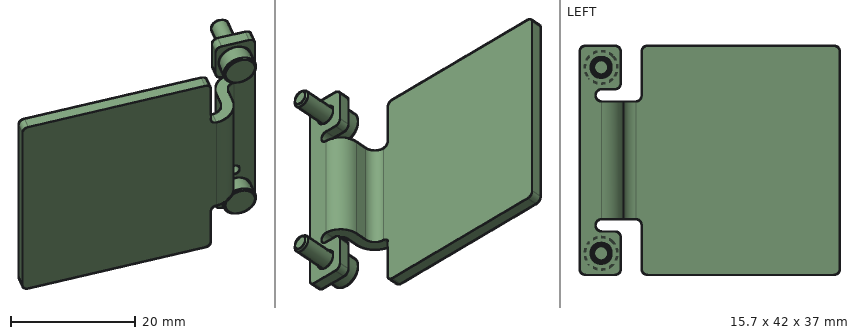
import cadquery as cq

LENGTH = 42.0
HEIGHT = 37.0
WIDTH = 15.7
THICKNESS = 2.0

LUG_X = 6.0
LUG_DEPTH = 6.68
LUG_HEIGHT = 7.05
CORNER_RADIUS = 1.0

BEND_START = 3.55
LUG_BEND_OUTER = 3.5
LUG_BEND_INNER = LUG_BEND_OUTER - THICKNESS
PANEL_BEND_INNER = 2.0
PANEL_BEND_OUTER = PANEL_BEND_INNER + THICKNESS
BEND_END = BEND_START + LUG_BEND_OUTER + PANEL_BEND_INNER

SLOT_WIDTH = 1.95
PANEL_START = 10.0
WEB_CORNER_RADIUS = PANEL_START - BEND_END

TOP = HEIGHT / 2
LUG_BOTTOM = TOP - LUG_HEIGHT
WEB_TOP = LUG_BOTTOM - SLOT_WIDTH

SCREW_SPACING = 30.0
SCREW_Y = -3.5
HOLE_DIAMETER = 3.4
SHANK_DIAMETER = 3.0
HEAD_DIAMETER = 5.5
HEAD_LENGTH = 3.0
HEAD_CHAMFER = 0.25
TIP_CHAMFER = 0.35
SEAT_CHAMFER = 0.13

SCREW_HEIGHTS = [-SCREW_SPACING / 2, SCREW_SPACING / 2]


def bent_strip():
    """Middle strip of the sheet, bent twice between lugs and panel."""
    lug_back = LUG_X + THICKNESS
    panel_front = WIDTH - THICKNESS
    web_near = -(BEND_START + LUG_BEND_INNER)
    web_far = -(BEND_START + LUG_BEND_OUTER)
    web_x_start = LUG_X + LUG_BEND_OUTER
    web_x_end = WIDTH - PANEL_BEND_OUTER
    return (
        cq.Workplane("XY", origin=(0, 0, -WEB_TOP))
        .moveTo(LUG_X, 0)
        .lineTo(LUG_X, -BEND_START)
        .radiusArc((web_x_start, web_far), -LUG_BEND_OUTER)
        .lineTo(web_x_end, web_far)
        .radiusArc((panel_front, -BEND_END), PANEL_BEND_INNER)
        .lineTo(panel_front, -PANEL_START)
        .lineTo(WIDTH, -PANEL_START)
        .lineTo(WIDTH, -BEND_END)
        .radiusArc((web_x_end, web_near), -PANEL_BEND_OUTER)
        .lineTo(web_x_start, web_near)
        .radiusArc((lug_back, -BEND_START), LUG_BEND_INNER)
        .lineTo(lug_back, 0)
        .close()
        .extrude(2 * WEB_TOP)
    )


def block(x_start, x_end, depth_start, depth_end, z_bottom, z_top):
    """Box given by its limits, with depth measured along -Y from the edge at Y = 0."""
    size = (x_end - x_start, depth_end - depth_start, z_top - z_bottom)
    corner = (x_start, -depth_end, z_bottom)
    return cq.Workplane("XY", origin=corner).box(*size, centered=False)


def outline_prism():
    """Silhouette of the bracket along X, as a solid through the full width."""
    prism = block(0, WIDTH, 0, LENGTH, -TOP, TOP)
    for side in (1, -1):
        gap_limits = sorted([side * WEB_TOP, side * TOP])
        slot_limits = sorted([side * WEB_TOP, side * LUG_BOTTOM])
        gap = block(0, WIDTH, LUG_DEPTH, PANEL_START, *gap_limits)
        slot = block(0, WIDTH, BEND_START, PANEL_START, *slot_limits)
        slot_round = (
            cq.Workplane("YZ")
            .center(-BEND_START, side * (WEB_TOP + SLOT_WIDTH / 2))
            .circle(SLOT_WIDTH / 2)
            .extrude(WIDTH)
        )
        prism = prism.cut(gap).cut(slot).cut(slot_round)
        outer_corners = [
            (0, TOP),
            (LUG_DEPTH, TOP),
            (LUG_DEPTH, LUG_BOTTOM),
            (PANEL_START, TOP),
            (LENGTH, TOP),
        ]
        for depth, z in outer_corners:
            prism = round_corner(prism, depth, side * z, CORNER_RADIUS)
        prism = round_corner(prism, PANEL_START, side * WEB_TOP, WEB_CORNER_RADIUS)
    return prism


def round_corner(body, depth, z, radius):
    """Fillet the edge along X that lies at the given depth and height."""
    corner = cq.selectors.NearestToPointSelector((WIDTH / 2, -depth, z))
    return body.edges("|X").edges(corner).fillet(radius)


def make_bracket():
    """Flat lugs and panel joined by the bent strip, trimmed to the outline."""
    lug_plate = block(LUG_X, LUG_X + THICKNESS, 0, LUG_DEPTH, WEB_TOP, TOP)
    panel = block(WIDTH - THICKNESS, WIDTH, BEND_END, LENGTH, -TOP, TOP)
    sheet = bent_strip().union(panel).union(lug_plate).union(lug_plate.mirror("XY"))
    bracket = sheet.intersect(outline_prism())
    holes = (
        cq.Workplane("YZ", origin=(LUG_X, 0, 0))
        .pushPoints([(SCREW_Y, z) for z in SCREW_HEIGHTS])
        .circle(HOLE_DIAMETER / 2)
        .extrude(THICKNESS)
    )
    return bracket.cut(holes).solids()


def make_screw(z):
    """Cap screw turned about an axis along X, its head resting on the back of the lug."""
    head_seat = LUG_X + THICKNESS
    head_end = head_seat + HEAD_LENGTH
    shank_radius = SHANK_DIAMETER / 2
    neck_radius = HOLE_DIAMETER / 2
    neck_length = neck_radius - shank_radius
    head_radius = HEAD_DIAMETER / 2
    half_profile = [
        (0, 0),
        (0, shank_radius - TIP_CHAMFER),
        (TIP_CHAMFER, shank_radius),
        (head_seat - neck_length, shank_radius),
        (head_seat, neck_radius),
        (head_seat, head_radius - SEAT_CHAMFER),
        (head_seat + SEAT_CHAMFER, head_radius),
        (head_end - HEAD_CHAMFER, head_radius),
        (head_end, head_radius - HEAD_CHAMFER),
        (head_end, 0),
    ]
    return (
        cq.Workplane("XY", origin=(0, SCREW_Y, z))
        .polyline(half_profile)
        .close()
        .revolve(360, (0, 0, 0), (1, 0, 0))
    )


bracket = make_bracket()
screws = [make_screw(z) for z in SCREW_HEIGHTS]

result = cq.Compound.makeCompound([bracket.val(), *[screw.val() for screw in screws]])